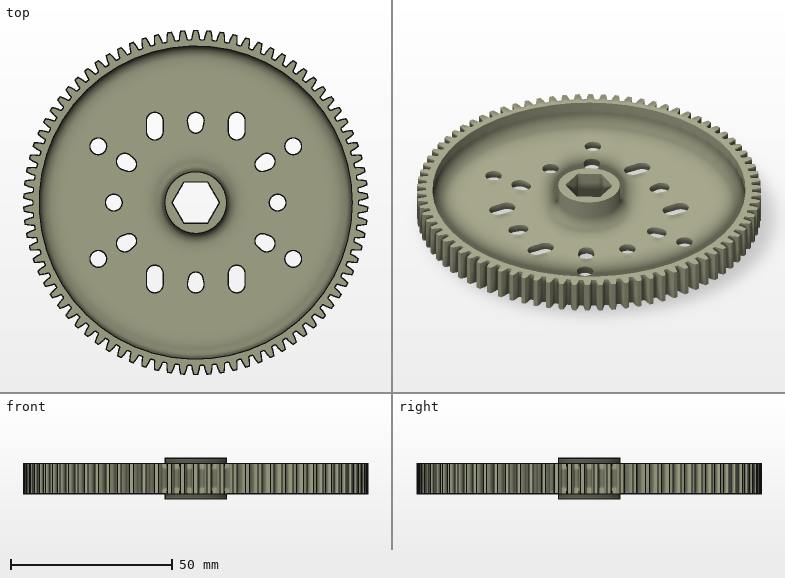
import cadquery as cq
import math

OUTER_DIAMETER = 106.7
TOOTH_COUNT = 82
PRESSURE_ANGLE = math.radians(14.5)
DEDENDUM_FACTOR = 1.25
FLANK_POINTS = 5
ROOT_ROUNDING = 0.2
FLOOR_FRACTION = 0.7

HUB_LENGTH = 12.7
HUB_DIAMETER = 19.1
HEX_ACROSS_FLATS = 12.7
FACE_WIDTH = 9.5

WEB_THICKNESS = 2.3
RIM_INNER_DIAMETER = 97.1
FILLET_RADIUS = 3.2

HOLE_DIAMETER = 5.1
INNER_HOLE_CIRCLE = 25.4
OUTER_HOLE_CIRCLE = 34.9
HOLE_STEP_ANGLE = 30.0
TAPER_END_DIAMETER = 4.5
TAPER_END_CIRCLE = 23.8

MODULE = OUTER_DIAMETER / (TOOTH_COUNT + 2)
TIP_RADIUS = OUTER_DIAMETER / 2
PITCH_RADIUS = MODULE * TOOTH_COUNT / 2
ROOT_RADIUS = PITCH_RADIUS - DEDENDUM_FACTOR * MODULE
BASE_RADIUS = PITCH_RADIUS * math.cos(PRESSURE_ANGLE)
FLANK_FOOT_RADIUS = ROOT_RADIUS + ROOT_ROUNDING
FLANK_STEP = (TIP_RADIUS - FLANK_FOOT_RADIUS) / (FLANK_POINTS - 1)
FLANK_RADII = [TIP_RADIUS - step * FLANK_STEP for step in range(FLANK_POINTS)]
TOOTH_PITCH = 2 * math.pi / TOOTH_COUNT
FACE_BOTTOM = -FACE_WIDTH / 2
FACE_TOP = FACE_WIDTH / 2
WEB_TOP = FACE_BOTTOM + WEB_THICKNESS
SLOT_X = INNER_HOLE_CIRCLE * math.cos(math.radians(2 * HOLE_STEP_ANGLE))
SLOT_Y_INNER = INNER_HOLE_CIRCLE * math.sin(math.radians(2 * HOLE_STEP_ANGLE))
SLOT_Y_OUTER = INNER_HOLE_CIRCLE
DIAGONALS = [step * HOLE_STEP_ANGLE for step in (1, 5, 7, 11)]
SIDES = [0, 180]
TAPERED_SLOT_ANGLES = DIAGONALS + [90, 270]


def polar(radius, angle):
    return (radius * math.cos(angle), radius * math.sin(angle))


def involute(angle):
    return math.tan(angle) - angle


def half_tooth_angle(radius):
    """Half of the angle that an involute tooth spans at the given radius."""
    flank_angle = math.acos(BASE_RADIUS / radius)
    return TOOTH_PITCH / 4 + involute(PRESSURE_ANGLE) - involute(flank_angle)


def gap_profile():
    """Radius and angle of points from one tip corner to the next, around a gap centred on angle 0."""
    flank = [(radius, TOOTH_PITCH / 2 - half_tooth_angle(radius)) for radius in FLANK_RADII]
    floor_end = (ROOT_RADIUS, FLOOR_FRACTION * (TOOTH_PITCH / 2 - half_tooth_angle(ROOT_RADIUS)))
    floor_middle = (ROOT_RADIUS, 0)
    leading_side = flank + [floor_end]
    trailing_side = list(reversed(leading_side))
    return [(radius, -angle) for radius, angle in leading_side] + [floor_middle] + trailing_side


def toothed_disc():
    """Spur gear blank with a tooth gap centred on +X."""
    gap = gap_profile()
    outline = cq.Workplane("XY", origin=(0, 0, FACE_BOTTOM)).moveTo(*polar(*gap[0]))
    for tooth in range(TOOTH_COUNT):
        gap_middle = tooth * TOOTH_PITCH
        tip_middle = gap_middle + TOOTH_PITCH / 2
        tip_end = tip_middle + half_tooth_angle(TIP_RADIUS)
        gap_points = [polar(radius, gap_middle + angle) for radius, angle in gap]
        outline = outline.spline(gap_points[1:], includeCurrent=True)
        outline = outline.threePointArc(polar(TIP_RADIUS, tip_middle), polar(TIP_RADIUS, tip_end))
    return outline.close().extrude(FACE_WIDTH)


def web_recess():
    """Annular pocket between rim and hub, with both floor corners rounded."""
    ring = (
        cq.Workplane("XY", origin=(0, 0, WEB_TOP))
        .circle(RIM_INNER_DIAMETER / 2)
        .circle(HUB_DIAMETER / 2)
        .extrude(FACE_TOP - WEB_TOP)
    )
    return ring.faces("<Z").edges().fillet(FILLET_RADIUS)


def hub():
    return cq.Workplane("XY").circle(HUB_DIAMETER / 2).extrude(HUB_LENGTH / 2, both=True)


def hex_bore():
    """Hexagonal through bore with corners on the X axis."""
    across_corners = HEX_ACROSS_FLATS / math.cos(math.pi / 6)
    return cq.Workplane("XY").polygon(6, across_corners).extrude(HUB_LENGTH, both=True)


def through_holes(centres, diameter):
    return cq.Workplane("XY").pushPoints(centres).circle(diameter / 2).extrude(HUB_LENGTH, both=True)


def points_on_circle(radius, degrees):
    return [polar(radius, math.radians(angle)) for angle in degrees]


def straight_slots():
    """Four slots running along Y, one in each quadrant."""
    middle_y = (SLOT_Y_OUTER + SLOT_Y_INNER) / 2
    length = SLOT_Y_OUTER - SLOT_Y_INNER + HOLE_DIAMETER
    centres = [(x, y) for x in (-SLOT_X, SLOT_X) for y in (-middle_y, middle_y)]
    return (
        cq.Workplane("XY")
        .pushPoints(centres)
        .slot2D(length, HOLE_DIAMETER, 90)
        .extrude(HUB_LENGTH, both=True)
    )


def tapered_slot(degrees):
    """Radial slot whose sides are tangent to a wide outer end and a narrow inner end."""
    wide = HOLE_DIAMETER / 2
    narrow = TAPER_END_DIAMETER / 2
    taper = math.asin((wide - narrow) / (INNER_HOLE_CIRCLE - TAPER_END_CIRCLE))
    wide_x = INNER_HOLE_CIRCLE - wide * math.sin(taper)
    wide_y = wide * math.cos(taper)
    narrow_x = TAPER_END_CIRCLE - narrow * math.sin(taper)
    narrow_y = narrow * math.cos(taper)
    slot = (
        cq.Workplane("XY")
        .moveTo(narrow_x, -narrow_y)
        .lineTo(wide_x, -wide_y)
        .threePointArc((INNER_HOLE_CIRCLE + wide, 0), (wide_x, wide_y))
        .lineTo(narrow_x, narrow_y)
        .threePointArc((TAPER_END_CIRCLE - narrow, 0), (narrow_x, -narrow_y))
        .close()
        .extrude(HUB_LENGTH, both=True)
    )
    return slot.rotate((0, 0, 0), (0, 0, 1), degrees)


result = (
    toothed_disc()
    .cut(web_recess())
    .union(hub())
    .cut(hex_bore())
    .cut(through_holes(points_on_circle(INNER_HOLE_CIRCLE, SIDES), HOLE_DIAMETER))
    .cut(through_holes(points_on_circle(OUTER_HOLE_CIRCLE, DIAGONALS), HOLE_DIAMETER))
    .cut(straight_slots())
)
for slot_angle in TAPERED_SLOT_ANGLES:
    result = result.cut(tapered_slot(slot_angle))